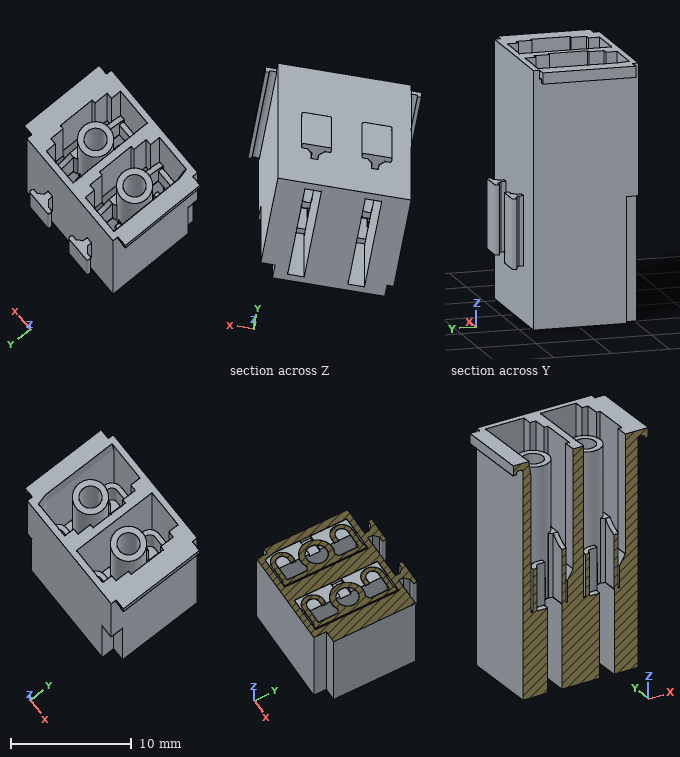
import cadquery as cq
import math


HEIGHT = 22.18
BODY_WIDTH = 11.24
BODY_DEPTH = 9.1
LEFT = -BODY_WIDTH / 2
RIGHT = BODY_WIDTH / 2
FRONT = -BODY_DEPTH / 2
BACK = BODY_DEPTH / 2

NOTCH_HEIGHT = 10.84
LEFT_NOTCH_WIDTH = 0.56
LEFT_NOTCH_DEPTH = 1.03
RIGHT_NOTCH_SIZE = 1.2

OVERALL_WIDTH = 13.16
FLANGE_DEPTH = 8.05
FLANGE_HEIGHT = 0.96
FLANGE_LIP = 0.34
GROOVE_SIDE_DROP = 0.76
GROOVE_CROWN_DROP = 0.63

PITCH = 5.08
UNIT_CENTERS = (-PITCH / 2, PITCH / 2)
OVERALL_DEPTH = 10.34
RAIL_REACH = OVERALL_DEPTH - BODY_DEPTH
RAIL_LENGTH = 6.0
RAIL_NECK_HALF = 0.29
RAIL_NECK_REACH = 0.42
RAIL_FLARE_HALF = 0.73
RAIL_HEAD_HALF = 1.25
RAIL_HEAD_THICKNESS = 0.42
RAIL_HEAD_FILLET = 0.15

POCKET_LEFT = -2.27
POCKET_RIGHT = 1.21
POCKET_HALF_DEPTH = 3.98
FLOOR_Z = 8.0
WINDOW_LEFT = -0.69
WINDOW_RIGHT = 0.7
RIB_GROOVE_WIDTH = 1.03
RIB_GROOVE_DEPTH = 0.3

ENTRY_WIDENING = 0.25
ENTRY_ANGLE = 10
ENTRY_HEIGHT = ENTRY_WIDENING / math.tan(math.radians(ENTRY_ANGLE))
CORNER_SLOPE_WIDTH = 0.25
CORNER_SLOPE_DEPTH = 0.93

SLOT_BOTTOM_Z = 10.0
SIDE_SLOT = (0.57, 3.02, 30)
MIDDLE_SLOT = (0.92, 1.7, 45)

SLEEVE_OFFSET = -0.37
SLEEVE_DIAMETER = 3.0
SLEEVE_BORE = 1.9
SLEEVE_TOP_Z = HEIGHT - 1.6
PLATE_LEFT = 0.67
PLATE_RIGHT = SLEEVE_OFFSET + SLEEVE_DIAMETER / 2
PLATE_HALF_DEPTH = 3.95
PLATE_TOP_Z = 14.0
SHOULDER_HALF_DEPTH = 1.52
SHOULDER_BEND_Y = 3.08
SHOULDER_STEEP_ANGLE = 50
SHOULDER_FLAT_ANGLE = 15
SADDLE_TOP_Z = 10.0
SADDLE_RIGHT = -0.07
WEB_LEFT = 0.3
WEB_ROOT_HALF_DEPTH = 1.35
SPRING_DIAMETER = 2.0
SPRING_THICKNESS = 0.44
SPRING_CURL_OFFSET = -1.12
SPRING_CENTER_Y = 2.85
SPRING_TIP_OFFSET = -0.61
SPRING_TOP_Z = 12.0


def block(x_range, y_range, z_range):
    """Axis-aligned box between pairs of limits."""
    (x0, x1), (y0, y1), (z0, z1) = x_range, y_range, z_range
    return cq.Workplane("XY").box(x1 - x0, y1 - y0, z1 - z0, centered=False).translate((x0, y0, z0))


def disc(x, y, diameter, z_bottom, z_top):
    """Upright cylinder."""
    return cq.Workplane("XY", origin=(x, y, z_bottom)).circle(diameter / 2).extrude(z_top - z_bottom)


def make_body():
    """Plain housing with the two front corner notches."""
    body = block((LEFT, RIGHT), (FRONT, BACK), (0, HEIGHT))
    notch_z = (0, NOTCH_HEIGHT)
    left_notch = block((LEFT, LEFT + LEFT_NOTCH_WIDTH), (FRONT, FRONT + LEFT_NOTCH_DEPTH), notch_z)
    right_notch = block((RIGHT - RIGHT_NOTCH_SIZE, RIGHT), (FRONT, FRONT + RIGHT_NOTCH_SIZE), notch_z)
    return body.cut(left_notch).cut(right_notch)


def make_flange():
    """Hooked flange on the +X side, with an arched groove between its lip and the body."""
    outer = OVERALL_WIDTH / 2
    lip_inner = outer - FLANGE_LIP
    groove_middle = (lip_inner + RIGHT) / 2
    return (
        cq.Workplane("XZ", origin=(0, FLANGE_DEPTH / 2, HEIGHT))
        .moveTo(RIGHT, 0)
        .lineTo(outer, 0)
        .lineTo(outer, -FLANGE_HEIGHT)
        .lineTo(lip_inner, -FLANGE_HEIGHT)
        .lineTo(lip_inner, -GROOVE_SIDE_DROP)
        .threePointArc((groove_middle, -GROOVE_CROWN_DROP), (RIGHT, -GROOVE_SIDE_DROP))
        .close()
        .extrude(FLANGE_DEPTH)
    )


def make_rail(center_x):
    """Flared rail with a rounded head on the back face."""
    head_start = RAIL_REACH - RAIL_HEAD_THICKNESS
    right_side = [
        (RAIL_NECK_HALF, 0),
        (RAIL_NECK_HALF, RAIL_NECK_REACH),
        (RAIL_FLARE_HALF, head_start),
    ]
    left_side = [(-x, y) for x, y in reversed(right_side)]
    stem = cq.Workplane("XY").polyline(right_side + left_side).close().extrude(RAIL_LENGTH)
    head = block((-RAIL_HEAD_HALF, RAIL_HEAD_HALF), (head_start, RAIL_REACH), (0, RAIL_LENGTH))
    rail = stem.union(head.edges("|Z").fillet(RAIL_HEAD_FILLET))
    return rail.translate((center_x, BACK, NOTCH_HEIGHT - RAIL_LENGTH))


def make_slot(center_x, reach, half_depth, ramp_angle):
    """Slot in the right pocket wall whose lower end ramps back to the wall."""
    wall = center_x + POCKET_RIGHT
    ramp_height = reach / math.tan(math.radians(ramp_angle))
    profile = [
        (wall, SLOT_BOTTOM_Z),
        (wall + reach, SLOT_BOTTOM_Z + ramp_height),
        (wall + reach, HEIGHT),
        (wall, HEIGHT),
    ]
    return cq.Workplane("XZ").polyline(profile).close().extrude(half_depth, both=True)


def make_pocket(center_x):
    """Contact pocket with its slots, floor window and floor groove."""
    left = center_x + POCKET_LEFT
    y_range = (-POCKET_HALF_DEPTH, POCKET_HALF_DEPTH)
    window_x = (center_x + WINDOW_LEFT, center_x + WINDOW_RIGHT)
    groove_y = (-RIB_GROOVE_WIDTH / 2, RIB_GROOVE_WIDTH / 2)
    pocket = block((left, center_x + POCKET_RIGHT), y_range, (FLOOR_Z, HEIGHT))
    pocket = pocket.union(block(window_x, y_range, (0, FLOOR_Z)))
    pocket = pocket.union(block((left, window_x[0]), groove_y, (FLOOR_Z - RIB_GROOVE_DEPTH, FLOOR_Z)))
    for slot in (SIDE_SLOT, MIDDLE_SLOT):
        pocket = pocket.union(make_slot(center_x, *slot))
    return pocket


def make_corner_slope(left):
    """Wedge of wall that slants the front left corner of a pocket."""
    slope = [
        (left, -POCKET_HALF_DEPTH),
        (left + CORNER_SLOPE_WIDTH, -POCKET_HALF_DEPTH),
        (left, -POCKET_HALF_DEPTH + CORNER_SLOPE_DEPTH),
    ]
    return cq.Workplane("XY", origin=(0, 0, FLOOR_Z)).polyline(slope).close().extrude(HEIGHT - FLOOR_Z)


def make_entry_taper(left):
    """Tapered entry that widens the left wall of a pocket towards the rim."""
    corner_y = -POCKET_HALF_DEPTH + CORNER_SLOPE_DEPTH
    outline = [
        (left, POCKET_HALF_DEPTH),
        (left, corner_y),
        (left + CORNER_SLOPE_WIDTH, -POCKET_HALF_DEPTH),
    ]
    inner_x = left + 2 * ENTRY_WIDENING
    closing = [(inner_x, -POCKET_HALF_DEPTH), (inner_x, POCKET_HALF_DEPTH)]
    widened = [(x - ENTRY_WIDENING, y) for x, y in outline]
    return (
        cq.Workplane("XY", origin=(0, 0, HEIGHT - ENTRY_HEIGHT))
        .polyline(outline + closing)
        .close()
        .workplane(offset=ENTRY_HEIGHT)
        .polyline(widened + closing)
        .close()
        .loft(ruled=True)
    )


def bend_points(start, end_y, start_angle, end_angle):
    """Middle and end (y, z) of a falling arc whose slope below horizontal changes between two angles."""
    start_slope = math.radians(start_angle)
    end_slope = math.radians(end_angle)
    radius = (end_y - start[0]) / abs(math.sin(end_slope) - math.sin(start_slope))
    points = []
    for slope in ((start_slope + end_slope) / 2, end_slope):
        run = radius * abs(math.sin(slope) - math.sin(start_slope))
        drop = radius * abs(math.cos(slope) - math.cos(start_slope))
        points.append((start[0] + run, start[1] - drop))
    return points


def make_plate(center_x):
    """Back plate of the contact, with shoulders falling in an S curve to both sides."""
    shoulder = (SHOULDER_HALF_DEPTH, PLATE_TOP_Z)
    hollow = bend_points(shoulder, SHOULDER_BEND_Y, SHOULDER_STEEP_ANGLE, SHOULDER_FLAT_ANGLE)
    crest = bend_points(hollow[-1], PLATE_HALF_DEPTH, SHOULDER_FLAT_ANGLE, SHOULDER_STEEP_ANGLE)
    half_plate = (
        cq.Workplane("YZ", origin=(center_x + PLATE_LEFT, 0, 0))
        .moveTo(0, FLOOR_Z)
        .lineTo(0, PLATE_TOP_Z)
        .lineTo(*shoulder)
        .threePointArc(*hollow)
        .threePointArc(*crest)
        .lineTo(PLATE_HALF_DEPTH, FLOOR_Z)
        .close()
        .extrude(PLATE_RIGHT - PLATE_LEFT)
    )
    return half_plate.union(half_plate.mirror("XZ"))


def make_sleeve(center_x):
    """Pin sleeve on its saddle, joined to the back plate by a web."""
    x = center_x + SLEEVE_OFFSET
    saddle_x = (center_x + WINDOW_LEFT, center_x + SADDLE_RIGHT)
    saddle_y = (-SLEEVE_DIAMETER / 2, SLEEVE_DIAMETER / 2)
    web = [
        (PLATE_RIGHT, SHOULDER_HALF_DEPTH),
        (PLATE_LEFT, SHOULDER_HALF_DEPTH),
        (WEB_LEFT, WEB_ROOT_HALF_DEPTH),
        (WEB_LEFT, -WEB_ROOT_HALF_DEPTH),
        (PLATE_LEFT, -SHOULDER_HALF_DEPTH),
        (PLATE_RIGHT, -SHOULDER_HALF_DEPTH),
    ]
    web_height = PLATE_TOP_Z - FLOOR_Z
    sleeve = disc(x, 0, SLEEVE_DIAMETER, FLOOR_Z, SLEEVE_TOP_Z)
    sleeve = sleeve.union(block(saddle_x, saddle_y, (FLOOR_Z, SADDLE_TOP_Z)))
    sleeve = sleeve.union(
        cq.Workplane("XY", origin=(center_x, 0, FLOOR_Z)).polyline(web).close().extrude(web_height)
    )
    return sleeve.cut(disc(x, 0, SLEEVE_BORE, FLOOR_Z, SLEEVE_TOP_Z))


def make_spring(center_x, side):
    """Curled spring whose long arm joins the plate; side is +1 for the back and -1 for the front."""
    outer = SPRING_DIAMETER / 2
    inner = outer - SPRING_THICKNESS
    spring = (
        cq.Workplane("XY")
        .moveTo(PLATE_LEFT, outer)
        .lineTo(SPRING_CURL_OFFSET, outer)
        .threePointArc((SPRING_CURL_OFFSET - outer, 0), (SPRING_CURL_OFFSET, -outer))
        .lineTo(SPRING_TIP_OFFSET, -outer)
        .lineTo(SPRING_TIP_OFFSET, -inner)
        .lineTo(SPRING_CURL_OFFSET, -inner)
        .threePointArc((SPRING_CURL_OFFSET - inner, 0), (SPRING_CURL_OFFSET, inner))
        .lineTo(PLATE_LEFT, inner)
        .close()
        .extrude(SPRING_TOP_Z - FLOOR_Z)
    )
    if side < 0:
        spring = spring.mirror("XZ")
    return spring.translate((center_x, side * SPRING_CENTER_Y, FLOOR_Z))


def make_contact(center_x):
    """Complete metal contact standing on the pocket floor."""
    contact = make_plate(center_x).union(make_sleeve(center_x))
    for side in (-1, 1):
        contact = contact.union(make_spring(center_x, side))
    return contact


housing = make_body()
flange = make_flange()
housing = housing.union(flange).union(flange.mirror("YZ"))
for unit_x in UNIT_CENTERS:
    housing = housing.union(make_rail(unit_x)).cut(make_pocket(unit_x))

keyed_wall = UNIT_CENTERS[0] + POCKET_LEFT
housing = housing.union(make_corner_slope(keyed_wall)).cut(make_entry_taper(keyed_wall))

for unit_x in UNIT_CENTERS:
    housing = housing.union(make_contact(unit_x))

result = housing